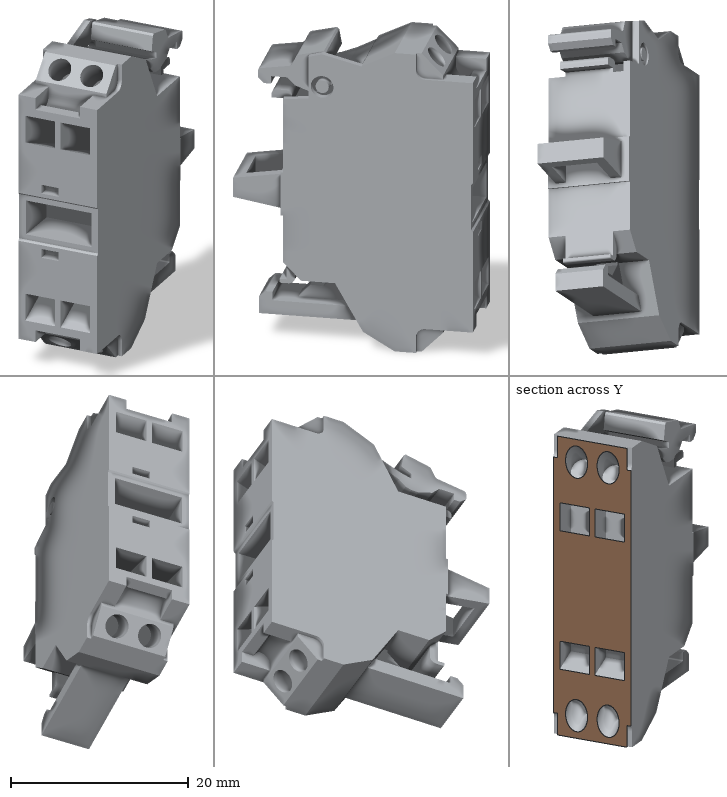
import cadquery as cq
import math


WIDTH = 9.8
HALF_WIDTH = WIDTH / 2
HALF_HEIGHT = 18.0
DEPTH = 27.7

FRONT_HALF_HEIGHT = 15.05
BACK_Y = 21.78
SHOULDER_Y = 6.5
SHOULDER_RADIUS = 1.05
CROWN_Y = 8.95
NECK_Y = 12.78
UPPER_NECK_Z = 16.1
LOWER_NECK_Y = 12.6
LOWER_NECK_Z = 15.9
WAIST_Y = 15.8
WAIST_Z = 10.3
BACK_CHAMFER = 2.1

CHEEK_INNER_X = -4.1
CLIP_HALF_WIDTH = 3.78
PIVOT_Y = 17.28
PIVOT_Z = 13.3
HUMP_Z = 17.2
CLIP_BEND_RADIUS = 0.45
CLIP_TIP_RADIUS = 0.35
PIN_RADIUS = 0.75
PIN_END_X = -4.85
PIVOT_HOLE_RADIUS = 1.3

TERMINAL_HALF_WIDTH = 4.4
TERMINAL_FRONT_Y = 3.5
TERMINAL_EDGE_Z = 15.5
TERMINAL_TOP_Y = 5.98
SCREW_HOLE_X = 1.98
SCREW_HOLE_DIAMETER = 2.7
SCREW_HOLE_DEPTH = 4.32

NOTCH_HALF_WIDTH = 2.77
NOTCH_LEDGE_Z = 13.6
NOTCH_LEDGE_DEPTH = 1.45
GROOVE_START_Y = 2.0
GROOVE_RADIUS = 1.3
GROOVE_AXIS_RISE = 0.45

WIRE_SIZE_X = 3.67
WIRE_SIZE_Z = 3.3
WIRE_CENTRE_X = 2.2
WIRE_CENTRE_Z = 10.98
WIRE_DEPTH = 9.0
WIRE_SLOPE = 23.0

RELIEF_DEPTH = 0.2
RELIEF_HALF_HEIGHT = 2.95
LABEL_HALF_WIDTH = 4.05
LABEL_HALF_HEIGHT = 2.1
LABEL_DEPTH = 5.4
LABEL_TAPER = 0.15
SLOT_SIZE_X = 2.12
SLOT_SIZE_Z = 1.08
SLOT_CENTRE_X = -0.97
SLOT_CENTRE_Z = 3.95
SLOT_DEPTH = 1.08

COLLAR_HALF_HEIGHT = 2.6
COLLAR_THICKNESS = 0.25
PLUNGER_HALF_WIDTH = 3.95
PLUNGER_ROOT_HALF_HEIGHT = 2.1
PLUNGER_TIP_HALF_HEIGHT = 1.15
PLUNGER_WINDOW_HALF_WIDTH = 2.7
PLUNGER_TIP_WALL = 1.25

HOOK_HALF_WIDTH = 2.88
HOOK_ROOT_RADIUS = 0.18
WEDGE_HALF_WIDTH = 1.25


def prism(points, x_start, x_end):
    """Extrude a closed (y, z) outline from x_start to x_end."""
    outline = cq.Workplane("YZ", origin=(x_start, 0, 0)).polyline(points).close()
    return outline.extrude(x_end - x_start)


def centred_prism(points, half_width):
    return prism(points, -half_width, half_width)


def round_corner(solid, y, z, radius):
    """Fillet the X-direction edge of a centred prism at (y, z)."""
    return solid.edges(cq.selectors.NearestToPointSelector((0, y, z))).fillet(radius)


def box(x_centre, z_centre, size_x, size_z, length, y_start=0):
    """Box that runs backwards from y_start."""
    block = cq.Workplane("XY").box(size_x, length, size_z, centered=(True, False, True))
    return block.translate((x_centre, y_start, z_centre))


def mirrored(solid):
    """Copy of a solid reflected to the bottom half."""
    return solid.mirror("XY")


def housing():
    relief_floor = RELIEF_HALF_HEIGHT - RELIEF_DEPTH
    points = [
        (0, FRONT_HALF_HEIGHT),
        (SHOULDER_Y, FRONT_HALF_HEIGHT),
        (SHOULDER_Y, HALF_HEIGHT),
        (CROWN_Y, HALF_HEIGHT),
        (NECK_Y, UPPER_NECK_Z),
        (WAIST_Y, WAIST_Z),
        (BACK_Y, WAIST_Z),
        (BACK_Y, -WAIST_Z + BACK_CHAMFER),
        (BACK_Y - BACK_CHAMFER, -WAIST_Z),
        (WAIST_Y, -WAIST_Z),
        (LOWER_NECK_Y, -LOWER_NECK_Z),
        (CROWN_Y, -HALF_HEIGHT),
        (SHOULDER_Y, -HALF_HEIGHT),
        (SHOULDER_Y, -FRONT_HALF_HEIGHT),
        (0, -FRONT_HALF_HEIGHT),
        (0, -RELIEF_HALF_HEIGHT),
        (RELIEF_DEPTH, -relief_floor),
        (RELIEF_DEPTH, relief_floor),
        (0, RELIEF_HALF_HEIGHT),
    ]
    body = centred_prism(points, HALF_WIDTH)
    for side in (1, -1):
        body = round_corner(body, SHOULDER_Y, side * FRONT_HALF_HEIGHT, SHOULDER_RADIUS)
    return body


def cheek():
    """Side plate that carries the clearance hole around the pivot pin."""
    step_y = 18.85
    points = [
        (NECK_Y, UPPER_NECK_Z),
        (PIVOT_Y, HUMP_Z),
        (step_y, 16.78),
        (step_y, 11.77),
        (BACK_Y, 11.45),
        (BACK_Y, 0),
        (NECK_Y, 0),
    ]
    return prism(points, -HALF_WIDTH, CHEEK_INNER_X)


def pivot_cylinder(radius, x_start, x_end):
    plane = cq.Workplane("YZ", origin=(x_start, 0, 0))
    return plane.center(PIVOT_Y, PIVOT_Z).circle(radius).extrude(x_end - x_start)


def terminal():
    points = [
        (TERMINAL_FRONT_Y, TERMINAL_EDGE_Z),
        (TERMINAL_TOP_Y, HALF_HEIGHT),
        (CROWN_Y, HALF_HEIGHT),
        (CROWN_Y, NOTCH_LEDGE_Z),
        (TERMINAL_FRONT_Y, NOTCH_LEDGE_Z),
    ]
    return centred_prism(points, TERMINAL_HALF_WIDTH)


def screw_holes():
    """Pair of blind holes square to the sloping terminal face."""
    rise = HALF_HEIGHT - TERMINAL_EDGE_Z
    run = TERMINAL_TOP_Y - TERMINAL_FRONT_Y
    centre_y = (TERMINAL_FRONT_Y + TERMINAL_TOP_Y) / 2
    centre_z = (TERMINAL_EDGE_Z + HALF_HEIGHT) / 2
    face = cq.Plane(origin=(0, centre_y, centre_z), xDir=(1, 0, 0), normal=(0, -rise, run))
    holes = cq.Workplane(face).pushPoints([(-SCREW_HOLE_X, 0), (SCREW_HOLE_X, 0)])
    return holes.circle(SCREW_HOLE_DIAMETER / 2).extrude(-SCREW_HOLE_DEPTH)


def notch():
    """Gap in the front shoulder: flat ledge, short ramp and rounded groove."""
    groove_axis_y = TERMINAL_FRONT_Y - GROOVE_RADIUS
    groove_axis_z = NOTCH_LEDGE_Z + GROOVE_AXIS_RISE
    offset_y = groove_axis_y - GROOVE_START_Y
    groove_start_z = groove_axis_z - math.sqrt(GROOVE_RADIUS**2 - offset_y**2)
    arc_mid = GROOVE_RADIUS * math.sqrt(0.5)
    outline = (
        cq.Workplane("YZ", origin=(-NOTCH_HALF_WIDTH, 0, 0))
        .moveTo(0, FRONT_HALF_HEIGHT)
        .lineTo(0, NOTCH_LEDGE_Z)
        .lineTo(NOTCH_LEDGE_DEPTH, NOTCH_LEDGE_Z)
        .lineTo(GROOVE_START_Y, groove_start_z)
        .threePointArc(
            (groove_axis_y + arc_mid, groove_axis_z - arc_mid),
            (TERMINAL_FRONT_Y, groove_axis_z),
        )
        .lineTo(TERMINAL_FRONT_Y, FRONT_HALF_HEIGHT)
        .close()
    )
    return outline.extrude(2 * NOTCH_HALF_WIDTH)


def wire_funnel(x_centre):
    """Wire entry whose roof and floor slope towards mid-height."""
    drop = WIRE_DEPTH * math.tan(math.radians(WIRE_SLOPE))
    top = WIRE_CENTRE_Z + WIRE_SIZE_Z / 2
    bottom = WIRE_CENTRE_Z - WIRE_SIZE_Z / 2
    points = [(0, top), (WIRE_DEPTH, top - drop), (WIRE_DEPTH, bottom - drop), (0, bottom)]
    return prism(points, x_centre - WIRE_SIZE_X / 2, x_centre + WIRE_SIZE_X / 2)


def label_pocket():
    """Central pocket with side walls that close in slightly."""
    back_half_width = LABEL_HALF_WIDTH - LABEL_TAPER
    outline = [
        (-LABEL_HALF_WIDTH, 0),
        (LABEL_HALF_WIDTH, 0),
        (back_half_width, LABEL_DEPTH),
        (-back_half_width, LABEL_DEPTH),
    ]
    return cq.Workplane("XY").polyline(outline).close().extrude(LABEL_HALF_HEIGHT, both=True)


def plunger():
    root_y = BACK_Y + COLLAR_THICKNESS
    collar = box(0, 0, WIDTH, 2 * COLLAR_HALF_HEIGHT, COLLAR_THICKNESS, BACK_Y)
    points = [
        (root_y, PLUNGER_ROOT_HALF_HEIGHT),
        (DEPTH, PLUNGER_TIP_HALF_HEIGHT),
        (DEPTH, -PLUNGER_TIP_HALF_HEIGHT),
        (root_y, -PLUNGER_ROOT_HALF_HEIGHT),
    ]
    frame = centred_prism(points, PLUNGER_HALF_WIDTH)
    window_length = DEPTH - PLUNGER_TIP_WALL - root_y
    window_width = 2 * PLUNGER_WINDOW_HALF_WIDTH
    window = box(0, 0, window_width, 2 * PLUNGER_ROOT_HALF_HEIGHT, window_length, root_y)
    return collar.union(frame.cut(window))


def upper_clip():
    """Spring clip: hook, thick lobe and the thin arm that joins it to the housing."""
    hook_y = 24.88
    hook_top = 14.5
    hook_inner_y = 23.35
    fillet_y = 21.05
    fillet_z = 15.12
    crest_y = 20.4
    crest_z = 16.45
    arm_root_y = 12.8
    points = [
        (hook_y, hook_top),
        (fillet_y, fillet_z),
        (crest_y, crest_z),
        (PIVOT_Y, HUMP_Z),
        (17.05, 17.0),
        (16.75, 15.23),
        (18.0, 14.58),
        (18.0, 13.9),
        (16.7, 14.25),
        (14.95, 14.98),
        (arm_root_y, UPPER_NECK_Z),
        (arm_root_y, 15.05),
        (16.02, 13.4),
        (16.4, 13.2),
        (PIVOT_Y, 12.42),
        (18.0, 12.2),
        (18.85, 12.15),
        (20.63, 12.78),
        (21.5, 13.68),
        (hook_inner_y, 13.68),
        (hook_inner_y, 12.78),
        (24.15, 12.78),
        (hook_y, 13.45),
    ]
    clip = centred_prism(points, CLIP_HALF_WIDTH)
    clip = round_corner(clip, fillet_y, fillet_z, CLIP_BEND_RADIUS)
    clip = round_corner(clip, crest_y, crest_z, CLIP_BEND_RADIUS)
    return round_corner(clip, hook_y, hook_top, CLIP_TIP_RADIUS)


def small_hook(toe_y, end_z, toe_thickness, leg_thickness, outer_radius, tip_radius):
    """L-shaped hook: leg along the back of the housing and a toe pointing backwards."""
    leg_inner_y = BACK_Y - leg_thickness
    toe_inner_z = end_z - toe_thickness
    points = [
        (leg_inner_y, 0),
        (leg_inner_y, end_z),
        (toe_y, end_z),
        (toe_y, toe_inner_z),
        (BACK_Y, toe_inner_z),
        (BACK_Y, 0),
    ]
    hook = centred_prism(points, HOOK_HALF_WIDTH)
    hook = round_corner(hook, leg_inner_y, end_z, outer_radius)
    return round_corner(hook, toe_y, end_z, tip_radius)


def lower_clip():
    """Rigid hooked bar with a narrower stiffening wedge above it."""
    bar_top = -13.7
    bar_bottom = -15.37
    hook_y = 24.95
    hook_inner_y = 23.35
    root_y = 10.8
    bar = [
        (root_y, bar_bottom),
        (hook_y, bar_bottom),
        (hook_y, -13.4),
        (24.2, -12.67),
        (hook_inner_y, -12.67),
        (hook_inner_y, bar_top),
        (root_y, bar_top),
    ]
    wedge = [
        (root_y, bar_top),
        (20.8, bar_top),
        (19.45, -12.25),
        (17.9, -12.25),
        (16.27, -10.65),
        (16.27, -WAIST_Z),
        (root_y, -WAIST_Z),
    ]
    hooked_bar = centred_prism(bar, HOOK_HALF_WIDTH)
    hooked_bar = round_corner(hooked_bar, hook_inner_y, bar_top, HOOK_ROOT_RADIUS)
    return hooked_bar.union(centred_prism(wedge, WEDGE_HALF_WIDTH))


pivot_hole = pivot_cylinder(PIVOT_HOLE_RADIUS, -HALF_WIDTH, CHEEK_INNER_X)
result = housing().union(cheek()).cut(pivot_hole)

upper_terminal = terminal()
result = result.union(upper_terminal).union(mirrored(upper_terminal))

upper_cuts = [notch(), screw_holes()]
for wire_x in (-WIRE_CENTRE_X, WIRE_CENTRE_X):
    upper_cuts.append(wire_funnel(wire_x))
upper_cuts.append(box(SLOT_CENTRE_X, SLOT_CENTRE_Z, SLOT_SIZE_X, SLOT_SIZE_Z, SLOT_DEPTH))
for tool in upper_cuts:
    result = result.cut(tool).cut(mirrored(tool))
result = result.cut(label_pocket())

pin = pivot_cylinder(PIN_RADIUS, PIN_END_X, 0)
upper_hook = small_hook(
    toe_y=23.47, end_z=11.77, toe_thickness=1.0, leg_thickness=0.65, outer_radius=0.55, tip_radius=0.55
)
lower_hook = mirrored(
    small_hook(
        toe_y=22.57, end_z=11.52, toe_thickness=0.45, leg_thickness=1.0, outer_radius=0.8, tip_radius=0.18
    )
)
for part in (plunger(), upper_clip(), pin, upper_hook, lower_hook, lower_clip()):
    result = result.union(part)